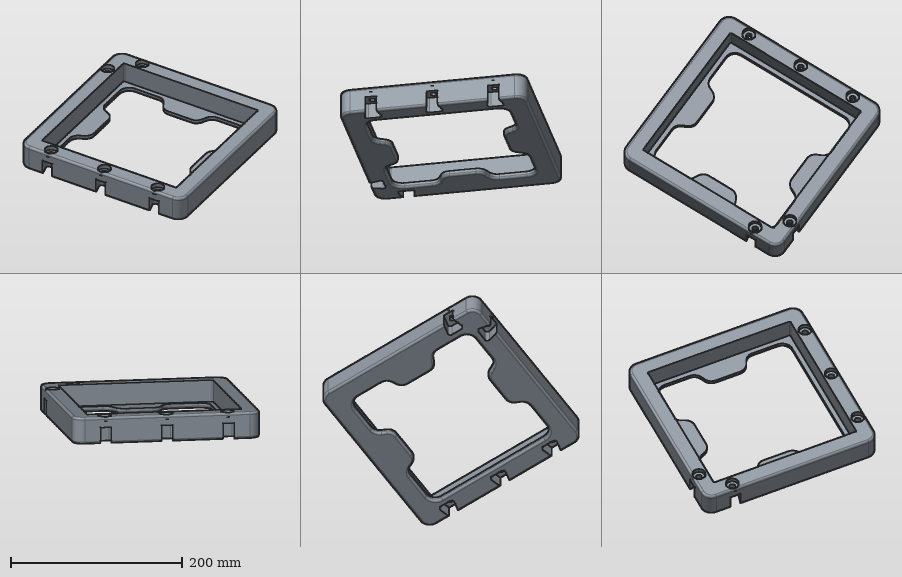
import cadquery as cq

side = 222.4
height = 31.8
corner_radius = 13.1
rim_radius = 3.0

pocket_side = 183.7
pocket_corner_radius = 1.3
lip_thickness = 6.2

window_side = 171.2
window_corner_radius = 13.0
tab_reach = 19.1
tab_base_width = 133.5
tab_root_width = 65.4
tab_tip_width = 46.7
tab_bend_radius = 12.0

hole_diameter = 7.1
counterbore_diameter = 15.3
counterbore_depth = 5.5
hole_edge_distance = 9.0
hole_pitch = 73.0
notch_mouth_width = 13.0
notch_inner_width = 21.8
notch_inner_radius = 3.3
notch_height = 19.1
notch_depth = 17.1

holes = [(0, -hole_pitch), (0, 0), (0, hole_pitch), (-90, -hole_pitch), (180, hole_pitch)]
tab_turns = [-90, 90, 180]


def square_block(width, depth, radius):
    """Upright square block on the XY plane, with rounded vertical edges."""
    return cq.Workplane("XY").rect(width, width).extrude(depth).edges("|Z").fillet(radius)


def turned(shape, angle):
    """Shape turned about the Z axis by an angle in degrees."""
    return shape.rotate((0, 0, 0), (0, 0, 1), angle)


def tab():
    """Tapered tab on the -Y side of the window, with all four bends rounded."""
    root_y = -window_side / 2
    tip_y = root_y + tab_reach
    outer_y = -pocket_side / 2
    blank = (
        cq.Workplane("XY")
        .moveTo(-tab_base_width / 2, outer_y)
        .lineTo(tab_base_width / 2, outer_y)
        .lineTo(tab_base_width / 2, root_y)
        .lineTo(tab_root_width / 2, root_y)
        .lineTo(tab_tip_width / 2, tip_y)
        .lineTo(-tab_tip_width / 2, tip_y)
        .lineTo(-tab_root_width / 2, root_y)
        .lineTo(-tab_base_width / 2, root_y)
        .close()
        .extrude(lip_thickness)
    )
    inner_half_width = (tab_base_width + tab_root_width) / 4
    bends = cq.selectors.BoxSelector(
        (-inner_half_width, (outer_y + root_y) / 2, 0),
        (inner_half_width, 0, lip_thickness),
    )
    return blank.edges("|Z").edges(bends).fillet(tab_bend_radius)


def dovetail_notch():
    """Dovetail notch in the middle of the -Y side, wider at its rounded inner end."""
    mouth_y = -side / 2
    inner_y = mouth_y + notch_depth
    notch = (
        cq.Workplane("XY")
        .moveTo(-notch_mouth_width / 2, mouth_y)
        .lineTo(notch_mouth_width / 2, mouth_y)
        .lineTo(notch_inner_width / 2, inner_y)
        .lineTo(-notch_inner_width / 2, inner_y)
        .close()
        .extrude(notch_height)
    )
    inner_edges = notch.faces(">Y").edges("|Z")
    return inner_edges.fillet(notch_inner_radius)


def screw_hole():
    """Solid of one counterbored hole and its notch, at the middle of the -Y side."""
    hole_y = hole_edge_distance - side / 2
    hole = cq.Workplane("XY").center(0, hole_y).circle(hole_diameter / 2).extrude(height)
    counterbore = (
        cq.Workplane("XY")
        .workplane(offset=height - counterbore_depth)
        .center(0, hole_y)
        .circle(counterbore_diameter / 2)
        .extrude(counterbore_depth)
    )
    return hole.union(counterbore).union(dovetail_notch())


frame = square_block(side, height, corner_radius).faces("<Z or >Z").edges().fillet(rim_radius)

pocket = square_block(pocket_side, height, pocket_corner_radius).translate((0, 0, lip_thickness))
window = square_block(window_side, lip_thickness, window_corner_radius)
for turn in tab_turns:
    window = window.cut(turned(tab(), turn))
frame = frame.cut(pocket).cut(window)

window_edges = frame.faces("<Z").val().innerWires()[0].Edges()
frame = frame.newObject(window_edges).fillet(rim_radius)

for turn, offset in holes:
    frame = frame.cut(turned(screw_hole().translate((offset, 0, 0)), turn))

result = frame